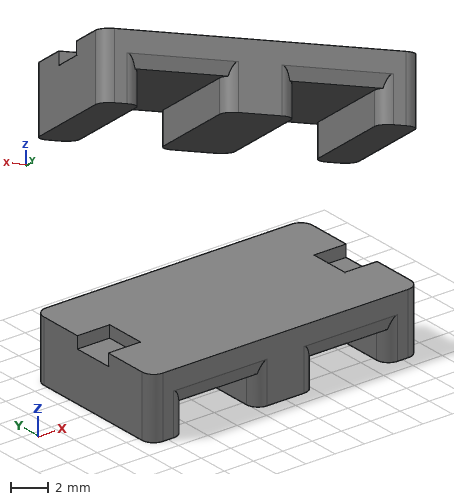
import cadquery as cq

length = 18.35
width = 10.2
height = 4.1
corner_radius = 0.8

channel_spacing = 8.9
channel_width = 4.8
channel_height = 2.0

mouth_radius = 0.8
bevel_height = 0.8
bevel_depth = 0.2

notch_length = 2.2
notch_width = 2.7
notch_depth = 0.8


def make_block():
    block = cq.Workplane("XY").box(length, width, height, centered=(True, True, False))
    return block.edges("|Z").fillet(corner_radius)


def make_channel(center_x):
    """Channel cutter: a plan flared by the rounded leg edges, under a roof bevelled at both mouths."""
    half_channel = channel_width / 2
    half_mouth = half_channel + mouth_radius
    half_width = width / 2
    tangent_y = half_width - mouth_radius
    mouth_height = channel_height + bevel_height

    plan = (
        cq.Workplane("XY")
        .moveTo(-half_mouth, -half_width)
        .lineTo(half_mouth, -half_width)
        .radiusArc((half_channel, -tangent_y), mouth_radius)
        .lineTo(half_channel, tangent_y)
        .radiusArc((half_mouth, half_width), mouth_radius)
        .lineTo(-half_mouth, half_width)
        .radiusArc((-half_channel, tangent_y), mouth_radius)
        .lineTo(-half_channel, -tangent_y)
        .radiusArc((-half_mouth, -half_width), mouth_radius)
        .close()
        .extrude(mouth_height)
    )
    roof = (
        cq.Workplane("YZ")
        .polyline([
            (-half_width, 0),
            (half_width, 0),
            (half_width, mouth_height),
            (half_width - bevel_depth, channel_height),
            (bevel_depth - half_width, channel_height),
            (-half_width, mouth_height),
        ])
        .close()
        .extrude(half_mouth, both=True)
    )
    return plan.intersect(roof).translate((center_x, 0, 0))


def make_notch(side):
    return (
        cq.Workplane("XY")
        .box(notch_length, notch_width, notch_depth)
        .translate((side * (length - notch_length) / 2, 0, height - notch_depth / 2))
    )


result = make_block()
for side in (-1, 1):
    result = result.cut(make_channel(side * channel_spacing / 2))
    result = result.cut(make_notch(side))